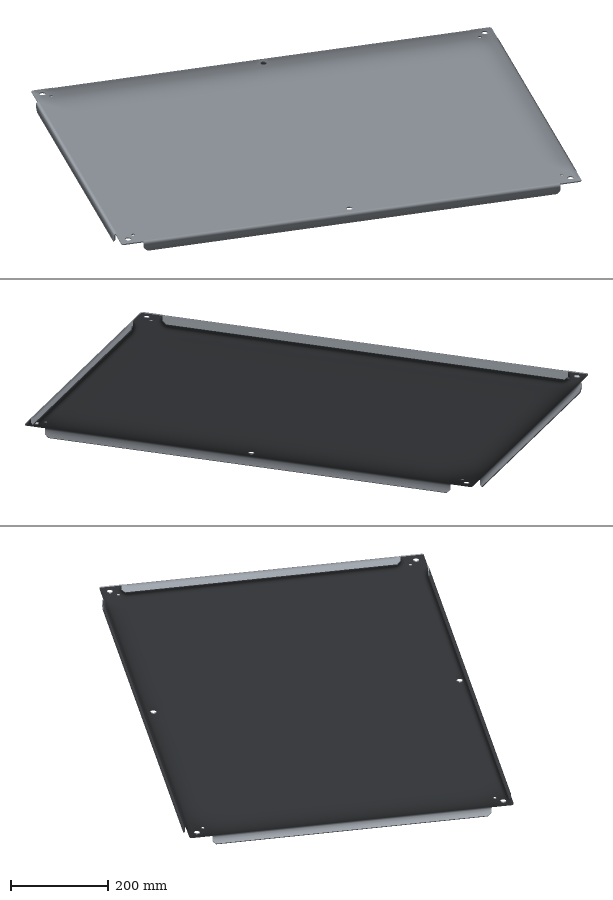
import cadquery as cq

width = 684.0
length = 989.0
height = 22.0

thickness = 2.5
bend_outer_radius = 6.0
bend_inner_radius = bend_outer_radius - thickness

edge_inset = 3.0
corner_radius = 5.0

side_flange_setback = 49.0
end_flange_setback = 50.0
flange_corner_chamfer = 7.4

mounting_diameter = 13.0
mounting_x = 320.0
mounting_y = 473.0
pilot_diameter = 7.1
pilot_x = 306.0
pilot_y = 458.0


def make_plate():
    """Plate with rounded corners, cut back along each edge where a bend starts."""
    plate = (
        cq.Workplane("XY")
        .box(width - 2 * edge_inset, length - 2 * edge_inset, thickness, centered=(True, True, False))
        .translate((0, 0, height - thickness))
        .edges("|Z")
        .fillet(corner_radius)
    )
    for span, across, turn in flange_layout():
        for side in (0, 180):
            bend_zone = (
                cq.Workplane("XY")
                .box(bend_outer_radius, span, height, centered=(False, True, False))
                .translate((across / 2 - bend_outer_radius, 0, 0))
                .rotate((0, 0, 0), (0, 0, 1), turn + side)
            )
            plate = plate.cut(bend_zone)
    return plate


def flange_layout():
    """Flange length, distance between the outer faces of the pair, and rotation about Z."""
    return (
        (length - 2 * side_flange_setback, width, 0),
        (width - 2 * end_flange_setback, length, 90),
    )


def make_flange(span, across):
    """Bend and downturned flange on the +X side, with chamfered lower corners."""
    outer = across / 2
    bend_start = outer - bend_outer_radius
    bend_bottom = height - bend_outer_radius
    diagonal = 0.5 ** 0.5
    outer_mid = (bend_start + bend_outer_radius * diagonal, bend_bottom + bend_outer_radius * diagonal)
    inner_mid = (bend_start + bend_inner_radius * diagonal, bend_bottom + bend_inner_radius * diagonal)
    return (
        cq.Workplane("XZ")
        .moveTo(bend_start, height)
        .threePointArc(outer_mid, (outer, bend_bottom))
        .lineTo(outer, 0)
        .lineTo(outer - thickness, 0)
        .lineTo(outer - thickness, bend_bottom)
        .threePointArc(inner_mid, (bend_start, height - thickness))
        .close()
        .extrude(span / 2, both=True)
        .edges("|X and <Z")
        .chamfer(flange_corner_chamfer)
    )


def cut_holes(panel):
    """Mounting holes at the corners and mid-sides, pilot holes at the corners."""
    mounting_points = [(sx * mounting_x, sy * mounting_y) for sx in (-1, 1) for sy in (-1, 0, 1)]
    pilot_points = [(sx * pilot_x, sy * pilot_y) for sx in (-1, 1) for sy in (-1, 1)]
    for points, diameter in ((mounting_points, mounting_diameter), (pilot_points, pilot_diameter)):
        drills = cq.Workplane("XY").pushPoints(points).circle(diameter / 2).extrude(height)
        panel = panel.cut(drills)
    return panel


panel = make_plate()
for span, across, turn in flange_layout():
    flange = make_flange(span, across)
    for side in (0, 180):
        panel = panel.union(flange.rotate((0, 0, 0), (0, 0, 1), turn + side))

result = cut_holes(panel)